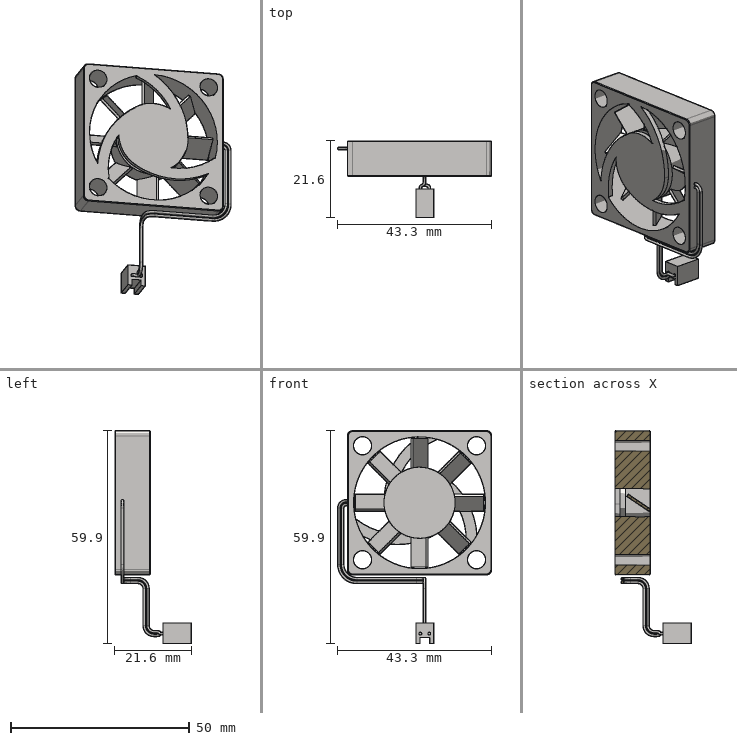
import cadquery as cq
import math

overall_width = 43.3
overall_height = 59.85

frame_size = 40.5
frame_depth = 10.0
frame_corner_radius = 1.5
frame_edge_chamfer = 0.25
bore_diameter = 37.0
mount_hole_diameter = 5.0
mount_hole_pitch = 32.0

hub_radius = 10.0
shaft_diameter = 10.0
base_thickness = 1.5
strut_count = 3
strut_width = 3.1
strut_arc_radius = 21.65
strut_embedding = 0.25
strut_tangent_angle = 62.0

hub_depth = 7.0
blade_count = 8
blade_tip_radius = 18.1
blade_chord = 7.5
blade_thickness = 0.8
blade_pitch_angle = 34.0

wire_diameter = 0.8
wire_spacing = 1.0
wire_rear_y = 7.85
wire_reach_x = frame_size / 2 - overall_width
side_run_x = wire_reach_x + (wire_diameter + wire_spacing) / 2
bottom_run_z = -21.85
drop_x = 1.4
drop_y = 1.2
plug_entry_z = -36.75
exit_bend_radius = 1.5
corner_bend_radius = 4.5
drop_bend_radius = 2.3
split_start_y = -1.55
split_stiffness = 2.0

plug_width = 5.0
plug_length = 8.0
plug_height = 5.85
plug_bottom_z = frame_size / 2 - overall_height
plug_x = 1.5
plug_rear_y = -3.55
plug_slot_width = 2.65
plug_slot_depth = 1.7
plug_wire_pitch = 2.5


def along_depth(start_y):
    """Workplane at the given Y with local axes X and Z; positive lengths extrude toward -Y."""
    return cq.Workplane("XZ", origin=(0, start_y, 0))


def make_strut():
    """Curved strut: a ring sector tangent to the base, reaching into the frame wall."""
    centre_distance = strut_arc_radius - hub_radius
    angle = math.radians(strut_tangent_angle)
    centre = (-centre_distance * math.cos(angle), -centre_distance * math.sin(angle))
    rear = along_depth(frame_depth)
    ring = (
        rear.center(*centre)
        .circle(strut_arc_radius)
        .circle(strut_arc_radius - strut_width)
        .extrude(base_thickness)
    )
    reach = frame_size / 2
    sector = (
        rear.polyline([
            (0, 0),
            (reach * math.cos(angle), reach * math.sin(angle)),
            (reach, 0),
            (reach, -reach),
        ])
        .close()
        .extrude(base_thickness)
    )
    limit = rear.circle(bore_diameter / 2 + strut_embedding).extrude(base_thickness)
    return ring.intersect(sector).intersect(limit)


def make_frame():
    body = along_depth(0).rect(frame_size, frame_size).extrude(-frame_depth)
    body = body.edges("|Y").fillet(frame_corner_radius)
    body = body.faces("<Y or >Y").chamfer(frame_edge_chamfer)
    bore = along_depth(0).circle(bore_diameter / 2).extrude(-frame_depth)
    mount_holes = (
        along_depth(0)
        .rect(mount_hole_pitch, mount_hole_pitch, forConstruction=True)
        .vertices()
        .circle(mount_hole_diameter / 2)
        .extrude(-frame_depth)
    )
    return body.cut(bore).cut(mount_holes)


def make_base():
    """Rear disc with its struts and the fixed shaft in front of it."""
    base = along_depth(frame_depth).circle(hub_radius).extrude(base_thickness)
    strut = make_strut()
    for index in range(strut_count):
        turned = strut.rotate((0, 0, 0), (0, 1, 0), index * 360 / strut_count)
        base = base.union(turned)
    shaft_length = frame_depth - base_thickness - hub_depth
    shaft = along_depth(hub_depth).circle(shaft_diameter / 2).extrude(-shaft_length)
    return base.union(shaft)


def make_impeller():
    """Hub, flush with the frame front, with its ring of slanted flat blades."""
    impeller = along_depth(0).circle(hub_radius).extrude(-hub_depth)
    pitch = math.radians(blade_pitch_angle)
    blade_depth = blade_chord * math.cos(pitch) + blade_thickness * math.sin(pitch)
    blade = (
        cq.Workplane("XY")
        .rect(blade_thickness, blade_chord)
        .extrude(blade_tip_radius)
        .rotate((0, 0, 0), (0, 0, 1), -blade_pitch_angle)
        .translate((0, blade_depth / 2, 0))
    )
    for index in range(blade_count):
        impeller = impeller.union(blade.rotate((0, 0, 0), (0, 1, 0), index * 360 / blade_count))
    return impeller


def make_fan():
    """Frame, base and impeller, connected by the struts and the shaft into one solid."""
    return make_frame().union(make_base()).union(make_impeller())


def bend(start, centre, end):
    """Quarter-circle edge from start to end about centre."""
    start, centre, end = cq.Vector(*start), cq.Vector(*centre), cq.Vector(*end)
    radius = (start - centre).Length
    middle = centre + (start + end - centre * 2).normalized() * radius
    return cq.Edge.makeThreePointArc(start, middle, end)


def make_wire(side):
    """One wire of the pair: side +1 is the outer one around the frame, -1 the inner one."""
    offset = side * wire_spacing / 2
    side_x = side_run_x - offset
    bottom_z = bottom_run_z - offset
    fall_y = drop_y + offset
    entry_z = plug_entry_z - offset
    exit_centre = (side_run_x + exit_bend_radius, wire_rear_y, -exit_bend_radius)
    corner_centre = (side_run_x + corner_bend_radius, wire_rear_y, bottom_run_z + corner_bend_radius)
    turn_centre = (drop_x - drop_bend_radius, wire_rear_y - drop_bend_radius, bottom_z)
    fall_centre = (drop_x, drop_y + drop_bend_radius, bottom_run_z - drop_bend_radius)
    entry_centre = (drop_x, drop_y - drop_bend_radius, plug_entry_z + drop_bend_radius)
    hole_x = plug_x + side * plug_wire_pitch / 2

    bends = [
        ((exit_centre[0], wire_rear_y, offset), exit_centre, (side_x, wire_rear_y, exit_centre[2])),
        ((side_x, wire_rear_y, corner_centre[2]), corner_centre, (corner_centre[0], wire_rear_y, bottom_z)),
        ((turn_centre[0], wire_rear_y, bottom_z), turn_centre, (drop_x, turn_centre[1], bottom_z)),
        ((drop_x, fall_centre[1], bottom_z), fall_centre, (drop_x, fall_y, fall_centre[2])),
        ((drop_x, fall_y, entry_centre[2]), entry_centre, (drop_x, entry_centre[1], entry_z)),
    ]
    edges = []
    position = (-frame_size / 2, wire_rear_y, offset)
    start = position
    for bend_start, centre, bend_end in bends:
        edges.append(cq.Edge.makeLine(cq.Vector(*position), cq.Vector(*bend_start)))
        edges.append(bend(bend_start, centre, bend_end))
        position = bend_end
    split_start = cq.Vector(drop_x, split_start_y, entry_z)
    split_end = cq.Vector(hole_x, plug_rear_y, plug_entry_z)
    forward = cq.Vector(0, -1, 0)
    edges.append(cq.Edge.makeLine(cq.Vector(*position), split_start))
    end_tangents = [forward * split_stiffness, forward * split_stiffness]
    edges.append(cq.Edge.makeSpline([split_start, split_end], tangents=end_tangents, scale=False))
    edges.append(cq.Edge.makeLine(split_end, split_end + forward * plug_length))
    path = cq.Workplane(cq.Wire.assembleEdges(edges))
    return cq.Workplane("YZ", origin=start).circle(wire_diameter / 2).sweep(path)


def make_plug():
    """Block with a slot along its underside and a through hole for each wire."""
    rear = cq.Workplane("XZ", origin=(plug_x, plug_rear_y, 0))
    body = rear.center(0, plug_bottom_z + plug_height / 2).rect(plug_width, plug_height).extrude(plug_length)
    slot = (
        rear.center(0, plug_bottom_z + plug_slot_depth / 2)
        .rect(plug_slot_width, plug_slot_depth)
        .extrude(plug_length)
    )
    wire_holes = (
        rear.center(0, plug_entry_z)
        .rarray(plug_wire_pitch, 0.6, 2, 1)
        .circle(wire_diameter / 2)
        .extrude(plug_length)
    )
    return body.cut(slot).cut(wire_holes)


fan = make_fan()
wires = [make_wire(side) for side in (1, -1)]
plug = make_plug()

result = cq.Compound.makeCompound([
    fan.val(), *[wire.val() for wire in wires], plug.val(),
])